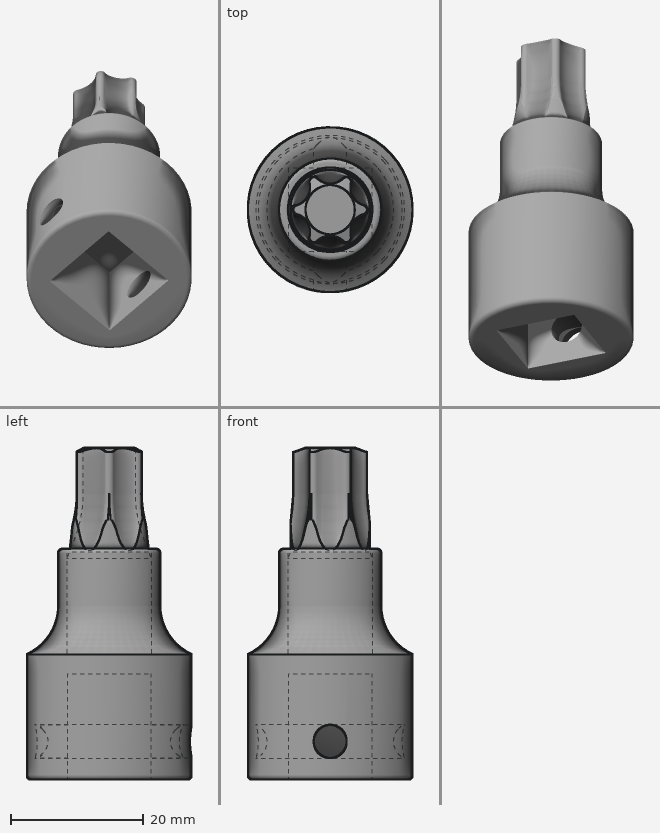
import cadquery as cq
import math

body_radius = 12.5
neck_radius = 7.75
shoulder_height = 19.0
housing_height = 35.0
cove_radius = 8.0
edge_fillet = 0.7
bore_radius = 6.4
bore_floor = 19.0

drive_width = 12.7
drive_depth = 16.0
hole_diameter = 5.0
hole_height = 5.8

groove_half_height = 2.6
groove_edge_radius = 11.25
groove_outer_radius = 10.9
groove_inner_radius = 9.6

total_height = 50.3
lobe_count = 6
tip_radius = 5.6
valley_radius = 3.95
tip_round = 0.7
flute_round = 2.8
shank_radius = 6.03
flare_top = 43.3
flare_bottom = 38.8
collar_top = 34.5
collar_bottom = 33.5
runout_radius = 18.8
runout_angle = 40.0
lead_angle = 5.0
top_flat_radius = 3.73
top_angle = 20.0
cutter_reach = 9.0


def make_housing():
    cove_drop = math.sqrt(cove_radius**2 - (cove_radius - body_radius + neck_radius) ** 2)
    neck_bottom = shoulder_height + cove_drop
    cove_center_x = neck_radius + cove_radius
    half_angle = math.asin(cove_drop / cove_radius) / 2
    cove_middle = (
        cove_center_x - cove_radius * math.cos(half_angle),
        neck_bottom - cove_radius * math.sin(half_angle),
    )
    housing = (
        cq.Workplane("XZ")
        .moveTo(0, 0)
        .lineTo(body_radius, 0)
        .lineTo(body_radius, shoulder_height)
        .threePointArc(cove_middle, (neck_radius, neck_bottom))
        .lineTo(neck_radius, housing_height)
        .lineTo(0, housing_height)
        .close()
        .revolve(360, (0, 0, 0), (0, 1, 0))
        .faces("<Z or >Z")
        .edges()
        .fillet(edge_fillet)
    )
    bore_depth = housing_height - bore_floor
    bore = cq.Workplane("XY").workplane(offset=bore_floor).circle(bore_radius).extrude(bore_depth)
    drive = cq.Workplane("XY").rect(drive_width, drive_width).extrude(drive_depth)
    hole_circle = cq.Workplane("XZ", origin=(0, 0, hole_height)).circle(hole_diameter / 2)
    near_hole = hole_circle.extrude(body_radius)
    far_hole = near_hole.mirror("XZ").intersect(make_ring_core())
    return housing.cut(bore).cut(drive).cut(make_ring_groove()).cut(near_hole).cut(far_hole)


def make_ring_core():
    """Round block inside the ring groove's outer wall, which bulges inwards."""
    return (
        cq.Workplane("XZ", origin=(0, 0, hole_height))
        .moveTo(0, -groove_half_height)
        .lineTo(groove_edge_radius, -groove_half_height)
        .threePointArc((groove_outer_radius, 0), (groove_edge_radius, groove_half_height))
        .lineTo(0, groove_half_height)
        .close()
        .revolve(360, (0, 0, 0), (0, 1, 0))
    )


def make_ring_groove():
    """Closed crescent-section channel around the drive socket, level with the pin hole."""
    return (
        cq.Workplane("XZ", origin=(0, 0, hole_height))
        .moveTo(groove_edge_radius, -groove_half_height)
        .threePointArc((groove_outer_radius, 0), (groove_edge_radius, groove_half_height))
        .threePointArc((groove_inner_radius, 0), (groove_edge_radius, -groove_half_height))
        .close()
        .revolve(360, (0, 0, 0), (0, 1, 0))
    )


def polar(radius, angle):
    return (radius * math.cos(angle), radius * math.sin(angle))


def flute_outline(workplane):
    """Space outside the star between two neighbouring tips, around the valley at -Y."""
    valley_angle = math.radians(-90)
    half_pitch = math.pi / lobe_count
    valley_center = (0, -(valley_radius + flute_round))
    outline_points = {}
    for side in (-1, 1):
        tip_angle = valley_angle + side * half_pitch
        center = polar(tip_radius - tip_round, tip_angle)
        lean = math.atan2(valley_center[1] - center[1], valley_center[0] - center[0])
        middle_angle = tip_angle + math.remainder(lean - tip_angle, 2 * math.pi) / 2

        def on_tip(angle, center=center):
            dx, dy = polar(tip_round, angle)
            return (center[0] + dx, center[1] + dy)

        outline_points[side] = {
            "far": polar(cutter_reach, tip_angle),
            "tip": polar(tip_radius, tip_angle),
            "middle": on_tip(middle_angle),
            "tangent": on_tip(lean),
        }
    left, right = outline_points[-1], outline_points[1]
    return (
        workplane.moveTo(*left["far"])
        .lineTo(*left["tip"])
        .threePointArc(left["middle"], left["tangent"])
        .threePointArc((0, -valley_radius), right["tangent"])
        .threePointArc(right["middle"], right["tip"])
        .lineTo(*right["far"])
        .close()
    )


def make_bit():
    top_drop = (shank_radius - top_flat_radius) * math.tan(math.radians(top_angle))
    shank = (
        cq.Workplane("YZ")
        .moveTo(0, bore_floor)
        .lineTo(bore_radius, bore_floor)
        .lineTo(bore_radius, collar_bottom)
        .lineTo(shank_radius, collar_top)
        .lineTo(shank_radius, flare_bottom)
        .lineTo(tip_radius, flare_top)
        .lineTo(0, flare_top)
        .close()
        .revolve(360, (0, 0, 0), (0, 1, 0))
    )
    star = (
        cq.Workplane("YZ")
        .moveTo(0, flare_top)
        .lineTo(shank_radius, flare_top)
        .lineTo(shank_radius, total_height - top_drop)
        .lineTo(top_flat_radius, total_height)
        .lineTo(0, total_height)
        .close()
        .revolve(360, (0, 0, 0), (0, 1, 0))
    )
    base = cq.Workplane("XY").workplane(offset=flare_top)
    straight = flute_outline(base).extrude(total_height - flare_top)
    axis_y = -(valley_radius + runout_radius)
    runout = (
        flute_outline(base)
        .revolve(runout_angle + lead_angle, (1, axis_y, 0), (0, axis_y, 0))
        .rotate((0, axis_y, flare_top), (1, axis_y, flare_top), lead_angle)
    )
    turns = [index * 360 / lobe_count for index in range(lobe_count)]
    axis = ((0, 0, 0), (0, 0, 1))
    star = star.val().cut(*[straight.rotate(*axis, turn).val() for turn in turns])
    shank = shank.val().cut(*[runout.rotate(*axis, turn).val() for turn in turns])
    return cq.Workplane(shank.fuse(star).Solids()[0])


housing = make_housing()
bit = make_bit()
result = cq.Compound.makeCompound([housing.val(), bit.val()])